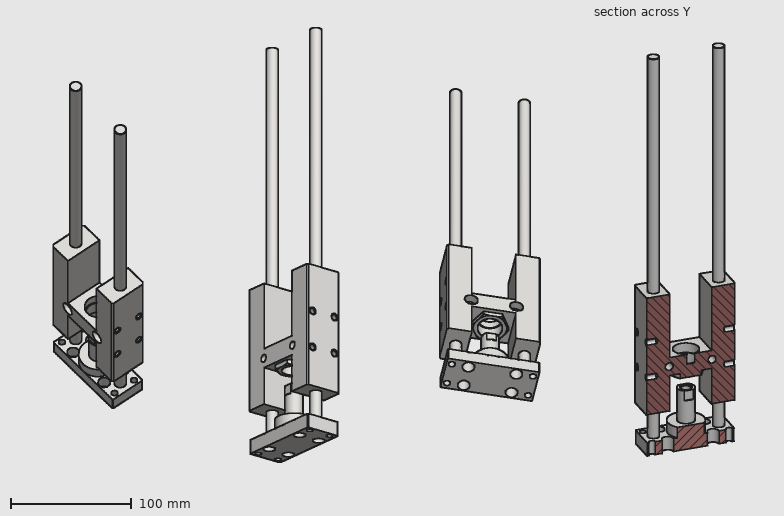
import cadquery as cq
import math

total_height = 360.0

plate_length = 77.5
plate_depth = 32.0
plate_thickness = 12.2
plate_edge_chamfer = 0.7
rod_diameter = 10.0
rod_spacing = 58.0
rod_chamfer = 0.5
collar_diameter = 32.0
collar_top = 22.0
stud_diameter = 15.0
stud_top = 52.0
stud_across_flats = 13.0
flat_height = 8.5
socket_diameter = 8.5
socket_depth = 18.0
socket_mouth_diameter = 10.0
corner_hole_diameter = 5.5
corner_hole_pitch_x = 68.5
corner_hole_pitch_y = 21.0
mount_hole_diameter = 10.0
mount_hole_pitch_x = 40.5
mount_hole_pitch_y = 20.0

housing_length = 79.0
housing_depth = 34.0
housing_bottom = 37.8
housing_top = 145.0
housing_edge_chamfer = 1.5
column_gap = 37.0
crossbar_bottom = 70.2
crossbar_top = 87.0
hex_across_corners = 31.5
hex_height = 4.5
boss_bottom = crossbar_bottom - hex_height
hex_chamfer_diameter = 27.7
hex_chamfer_height = 1.0
bore_diameter = 22.0
bore_depth = 8.5
lower_bore_diameter = 20.5
screw_pitch = 38.0
screw_hole_diameter = 6.5
screw_head_diameter = 11.0
screw_head_depth = 7.2
side_hole_diameter = 5.0
side_hole_mouth_diameter = 6.5
side_hole_depth = 9.0
side_hole_pitch_y = 23.0
side_hole_pitch_z = 32.0
side_hole_center_z = 88.2

drill_point_angle = 118


def drilled_hole(diameter, mouth_diameter, depth):
    """Blind hole below Z = 0 with a 45 degree countersunk mouth and a conical drill point."""
    radius = diameter / 2
    mouth_radius = mouth_diameter / 2
    point_length = radius / math.tan(math.radians(drill_point_angle / 2))
    return (
        cq.Workplane("XZ")
        .lineTo(mouth_radius, 0)
        .lineTo(radius, radius - mouth_radius)
        .lineTo(radius, -depth)
        .lineTo(0, -depth - point_length)
        .close()
        .revolve(360, (0, 0, 0), (0, 1, 0))
    )


def disc(diameter, bottom, top):
    """Vertical cylinder on the central axis."""
    return cq.Workplane("XY").workplane(offset=bottom).circle(diameter / 2).extrude(top - bottom)


def plate_holes(diameter, pitch_x, pitch_y):
    """Four vertical through holes in a rectangular pattern."""
    return (
        cq.Workplane("XY")
        .rarray(pitch_x, pitch_y, 2, 2)
        .circle(diameter / 2)
        .extrude(plate_thickness)
    )


def guide_rods():
    """Two full-height rods without their end chamfers."""
    return cq.Workplane("XY").rarray(rod_spacing, 3.5, 2, 1).circle(rod_diameter / 2).extrude(total_height)


def end_plate():
    plate = cq.Workplane("XY").rect(plate_length, plate_depth).extrude(plate_thickness)
    plate = plate.edges("|Z").chamfer(plate_edge_chamfer)
    plate = plate.cut(plate_holes(corner_hole_diameter, corner_hole_pitch_x, corner_hole_pitch_y))
    return plate.cut(plate_holes(mount_hole_diameter, mount_hole_pitch_x, mount_hole_pitch_y))


def coupling_stud():
    """Stud on a round collar, with two wrench flats and a drilled socket in its top."""
    stud = disc(stud_diameter, collar_top, stud_top)
    flats = (
        cq.Workplane("XY")
        .workplane(offset=stud_top - flat_height)
        .rarray(3.5, stud_across_flats + stud_diameter, 1, 2)
        .rect(stud_diameter, stud_diameter)
        .extrude(flat_height)
    )
    socket = drilled_hole(socket_diameter, socket_mouth_diameter, socket_depth)
    stud = stud.cut(flats).cut(socket.translate((0, 0, stud_top)))
    return stud.union(disc(collar_diameter, plate_thickness, collar_top))


def make_carriage():
    rods = guide_rods().faces(">Z").chamfer(rod_chamfer)
    return end_plate().union(coupling_stud()).union(rods)


def housing_columns():
    """Chamfered block opened above and below the crossbar, which leaves an H shape."""
    block = (
        cq.Workplane("XY")
        .workplane(offset=housing_bottom)
        .rect(housing_length, housing_depth)
        .extrude(housing_top - housing_bottom)
        .edges("|Z")
        .chamfer(housing_edge_chamfer)
    )
    for bottom, top in ((housing_bottom, crossbar_bottom), (crossbar_top, housing_top)):
        gap = cq.Workplane("XY").workplane(offset=bottom).rect(column_gap, housing_depth).extrude(top - bottom)
        block = block.cut(gap)
    return block


def hexagonal_boss():
    """Hexagon under the crossbar, its lower corners turned down by a cone."""
    boss = cq.Workplane("XY").workplane(offset=boss_bottom).polygon(6, hex_across_corners).extrude(hex_height)
    chamfer_slope = (hex_across_corners - hex_chamfer_diameter) / 2 / hex_chamfer_height
    bottom_radius = hex_chamfer_diameter / 2
    cone = (
        cq.Workplane("XY")
        .workplane(offset=boss_bottom)
        .circle(bottom_radius)
        .workplane(offset=hex_height)
        .circle(bottom_radius + hex_height * chamfer_slope)
        .loft(ruled=True)
    )
    return boss.intersect(cone)


def screw_holes():
    """Two counterbored holes through the depth of the housing, with their heads at the front."""
    centers = cq.Workplane("XZ", origin=(0, -housing_depth / 2, (crossbar_bottom + crossbar_top) / 2))
    centers = centers.rarray(screw_pitch, 3.5, 2, 1)
    shanks = centers.circle(screw_hole_diameter / 2).extrude(-housing_depth)
    heads = centers.circle(screw_head_diameter / 2).extrude(-screw_head_depth)
    return shanks.union(heads)


def side_holes():
    """Four drilled holes in each end face of the housing."""
    holes = []
    for side in (-1, 1):
        hole = drilled_hole(side_hole_diameter, side_hole_mouth_diameter, side_hole_depth)
        hole = hole.rotate((0, 0, 0), (0, 1, 0), side * 90)
        for y in (-side_hole_pitch_y / 2, side_hole_pitch_y / 2):
            for dz in (-side_hole_pitch_z / 2, side_hole_pitch_z / 2):
                holes.append(hole.translate((side * housing_length / 2, y, side_hole_center_z + dz)))
    return holes


def make_housing():
    body = housing_columns().union(hexagonal_boss())
    body = body.cut(disc(lower_bore_diameter, boss_bottom, crossbar_top))
    body = body.cut(disc(bore_diameter, crossbar_top - bore_depth, crossbar_top))
    body = body.cut(screw_holes())
    for hole in side_holes():
        body = body.cut(hole)
    return body.cut(guide_rods())


carriage = make_carriage().solids()
housing = make_housing().solids()
result = cq.Compound.makeCompound([carriage.val(), housing.val()])